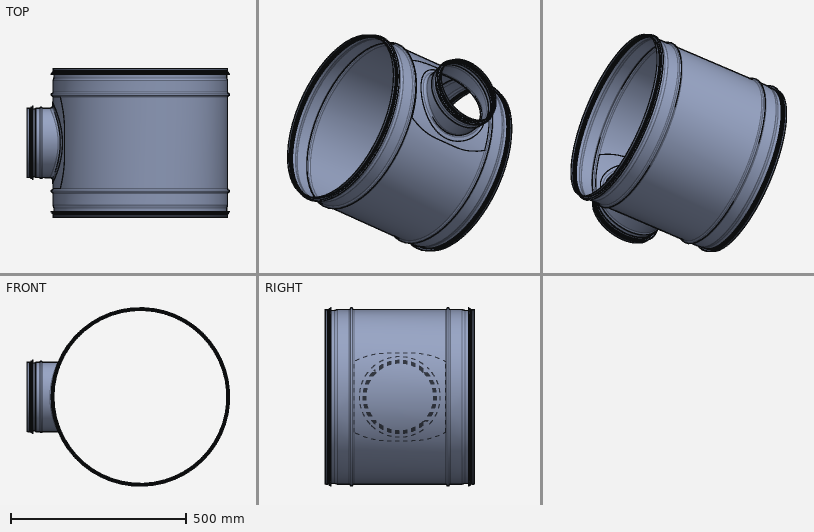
import cadquery as cq
import math


sheet = 0.5
pipe_r = 498.75 / 2
pipe_length = 425.0
pipe_bead_r = 509.15 / 2
branch_r = 198.95 / 2
branch_bead_r = 204.35 / 2
overall_x = 577.87
branch_end_x = pipe_bead_r - overall_x

groove_depth = 2.4
groove_start = 8.0
groove_ramp = 1.5
hem_length = groove_start - groove_ramp
lead_in_length = 3.5
lead_in_depth = 0.5

pipe_groove_end = 27.0
pipe_groove_exit = 35.0
pipe_bead_at = 75.0
pipe_bead_half_width = 7.0
pipe_bead_height = pipe_bead_r - pipe_r
branch_groove_end = 22.5
branch_groove_exit = 26.2
branch_bead_at = 40.2
branch_bead_half_width = 4.75
branch_bead_height = branch_bead_r - branch_r
bead_tip_share = 0.45

saddle_half_width = pipe_length / 2 - pipe_bead_at - pipe_bead_half_width
saddle_flat_half_width = 35.0
saddle_mid_height = 125.0
saddle_side_height = 101.0
saddle_fillet = 7.5
flange_r = 115.0

gasket_width = 9.0
gasket_band = 0.6
lip_thickness = 1.2
short_lip_root = 0.6
short_lip_lean = 3.0
short_lip_rise = 2.7
long_lip_root = 4.5
long_lip_lean = 3.4
long_lip_rise = 5.2


def add_bead(path, r, centre, half_width, height, tip_r):
    """Append a round bead: concave foot, convex tip, concave foot, all tangent."""
    foot_r = (half_width**2 + height**2) / (2 * height) - tip_r
    slope = math.asin(half_width / (foot_r + tip_r))

    def foot_point(angle):
        return -half_width + foot_r * math.sin(angle), r + foot_r * (1 - math.cos(angle))

    mid_s, mid_r = foot_point(slope / 2)
    join_s, join_r = foot_point(slope)
    path = path.lineTo(centre - half_width, r)
    path = path.threePointArc((centre + mid_s, mid_r), (centre + join_s, join_r))
    path = path.threePointArc((centre, r + height), (centre - join_s, join_r))
    return path.threePointArc((centre - mid_s, mid_r), (centre + half_width, r))


def turned_core(r, inset, length, groove_end, groove_exit, bead_at, bead_half_width, bead_height, both_ends):
    """Solid bounded by a pipe's formed wall, inset from the outer face; first open end at x = 0."""
    wall_r = r - inset
    hem_r = r - 2 * inset
    groove_r = wall_r - groove_depth
    tip_r = bead_tip_share * (bead_half_width**2 + bead_height**2) / (2 * bead_height) - inset
    end_points = [
        (0, hem_r - lead_in_depth),
        (lead_in_length, hem_r),
        (hem_length, hem_r),
        (groove_start, groove_r),
        (groove_end, groove_r),
        (groove_exit, wall_r),
    ]
    path = cq.Workplane("XY")
    for s, point_r in end_points:
        path = path.lineTo(s, point_r)
    path = add_bead(path, wall_r, bead_at, bead_half_width, bead_height, tip_r)
    if both_ends:
        path = add_bead(path, wall_r, length - bead_at, bead_half_width, bead_height, tip_r)
        for s, point_r in reversed(end_points):
            path = path.lineTo(length - s, point_r)
    else:
        path = path.lineTo(length, wall_r)
    return path.lineTo(length, 0).close().revolve(360, (0, 0, 0), (1, 0, 0))


def main_pipe_core(inset):
    core = turned_core(
        pipe_r, inset, pipe_length, pipe_groove_end, pipe_groove_exit,
        pipe_bead_at, pipe_bead_half_width, pipe_bead_height, both_ends=True,
    )
    return to_front_end(core)


def branch_core(inset):
    core = turned_core(
        branch_r, inset, -branch_end_x, branch_groove_end, branch_groove_exit,
        branch_bead_at, branch_bead_half_width, branch_bead_height, both_ends=False,
    )
    return core.translate((branch_end_x, 0, 0))


def to_front_end(body):
    """Move a body turned about X with its open end at x = 0 to the -Y end of the main pipe."""
    return body.rotate((0, 0, 0), (0, 0, 1), 90).translate((0, -pipe_length / 2, 0))


def cylinder_along_y(r, length):
    return cq.Workplane("XZ").circle(r).extrude(length / 2, both=True)


def make_main_pipe():
    bore = cq.Workplane("YZ").circle(branch_r - sheet).extrude(branch_end_x)
    return main_pipe_core(0).cut(main_pipe_core(sheet)).cut(bore)


def make_branch_collar():
    outline = (
        cq.Workplane("YZ")
        .moveTo(0, saddle_mid_height)
        .lineTo(saddle_flat_half_width, saddle_mid_height)
        .tangentArcPoint((saddle_half_width, saddle_side_height), relative=False)
        .lineTo(saddle_half_width, 0)
        .mirrorX()
        .mirrorY()
        .extrude(branch_end_x)
    )
    saddle = cylinder_along_y(pipe_r + sheet, pipe_length).intersect(outline)
    flange_disc = cq.Workplane("YZ").circle(flange_r).extrude(branch_end_x)
    flange = cylinder_along_y(pipe_r + 2 * sheet, pipe_length).intersect(flange_disc)
    stub_start = branch_end_x + branch_bead_at + branch_bead_half_width
    stub = cq.Workplane("YZ").workplane(offset=stub_start).circle(branch_r).extrude(-stub_start)
    joint = cq.selectors.BoxSelector(
        (-pipe_r - 3 * sheet, -branch_r - sheet, -branch_r - sheet),
        (-pipe_r / 2, branch_r + sheet, branch_r + sheet),
        boundingbox=True,
    )
    collar = saddle.union(flange).union(stub).edges(joint).fillet(saddle_fillet)
    collar = collar.union(branch_core(0))
    return collar.cut(cylinder_along_y(pipe_r, pipe_length)).cut(branch_core(sheet))


def make_gasket(r):
    seat_r = r - groove_depth
    band_r = seat_r + gasket_band
    end = groove_start + gasket_width
    short_root = groove_start + short_lip_root
    long_root = groove_start + long_lip_root
    points = [
        (groove_start, seat_r),
        (groove_start, band_r),
        (short_root, band_r),
        (short_root + short_lip_lean, r + short_lip_rise),
        (short_root + short_lip_lean + lip_thickness, r + short_lip_rise),
        (short_root + lip_thickness, band_r),
        (long_root, band_r),
        (long_root + long_lip_lean, r + long_lip_rise),
        (long_root + long_lip_lean + lip_thickness, r + long_lip_rise),
        (long_root + lip_thickness, band_r),
        (end, band_r),
        (end, seat_r),
    ]
    return cq.Workplane("XY").polyline(points).close().revolve(360, (0, 0, 0), (1, 0, 0))


main_pipe = make_main_pipe()
branch_collar = make_branch_collar()
front_gasket = to_front_end(make_gasket(pipe_r))
pipe_gaskets = [front_gasket, front_gasket.mirror("XZ")]
branch_gasket = make_gasket(branch_r).translate((branch_end_x, 0, 0))

result = cq.Compound.makeCompound(
    [
        main_pipe.val(),
        branch_collar.val(),
        *[gasket.val() for gasket in pipe_gaskets],
        branch_gasket.val(),
    ]
)